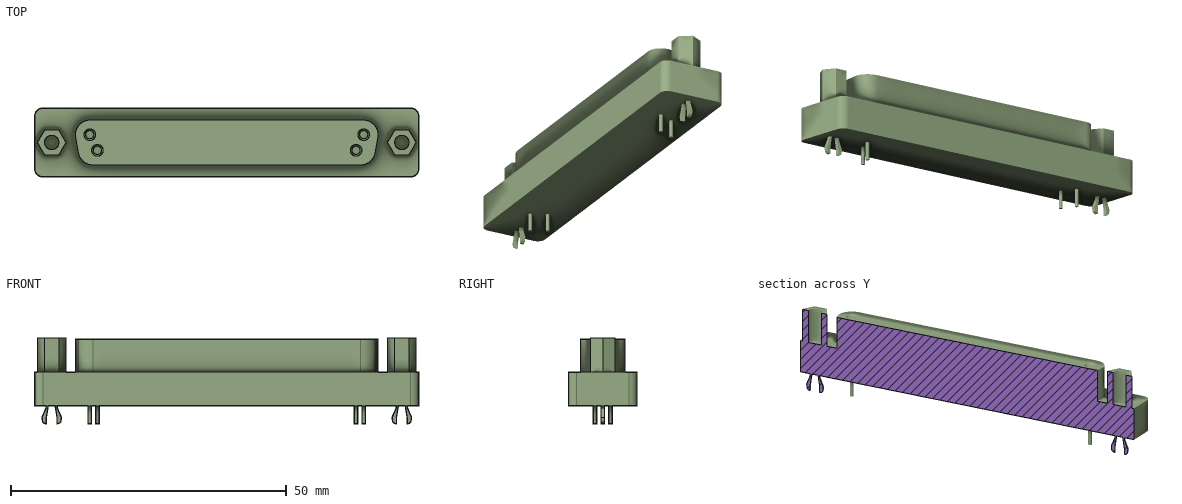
import cadquery as cq
import math

BODY_LENGTH = 69.7
BODY_WIDTH = 12.5
BODY_HEIGHT = 6.1
BODY_CORNER_RADIUS = 1.5

SHELL_LENGTH = 54.9
SHELL_WIDTH = 8.15
SHELL_HEIGHT = 6.0
SHELL_CORNER_RADIUS = 2.65
SHELL_SIDE_ANGLE = 10.0

CONTACT_PITCH = 2.76
ROW_SPACING = 2.84
LONG_ROW_COUNT = 19
SHORT_ROW_COUNT = LONG_ROW_COUNT - 1
CONTACT_MOUTH_DIAMETER = 2.1
CONTACT_FLOOR_DIAMETER = 1.5
CONTACT_DEPTH = 0.45
PIN_DIAMETER = 0.68
TAIL_LENGTH = 3.3

POST_SIDES = 6
POST_SPACING = 63.5
POST_ACROSS_FLATS = 4.5
POST_HEIGHT = 6.2
POST_HOLE_DIAMETER = 2.6

PRONG_THICKNESS = 0.7
PRONG_ROOT_INNER = 0.6
PRONG_ROOT_OUTER = 1.05
PRONG_ROOT_DEPTH = 0.4
PRONG_BARB_OUTER = 1.78
PRONG_BARB_DEPTH = 2.1
PRONG_HEEL_OUTER = 1.68
PRONG_HEEL_DEPTH = 2.9
PRONG_TOE_OUTER = 1.35
PRONG_TOE_DEPTH = 3.2
PRONG_TIP_INNER = 0.95

SIDES = (-1, 1)


def make_body():
    body = cq.Workplane("XY").box(BODY_LENGTH, BODY_WIDTH, BODY_HEIGHT, centered=(True, True, False))
    return body.edges("|Z").fillet(BODY_CORNER_RADIUS)


def make_shell():
    """D-shaped block whose overall length is reached on its upper corner arcs."""
    angle = math.radians(SHELL_SIDE_ANGLE)
    half_width = SHELL_WIDTH / 2
    radius = SHELL_CORNER_RADIUS
    arc_center_x = SHELL_LENGTH / 2 - radius
    arc_center_y = half_width - radius
    half_length_middle = arc_center_x + radius / math.cos(angle) - arc_center_y * math.tan(angle)
    slant = half_width * math.tan(angle)
    long_half = half_length_middle + slant
    short_half = half_length_middle - slant
    corners = [
        (-long_half, half_width),
        (long_half, half_width),
        (short_half, -half_width),
        (-short_half, -half_width),
    ]
    shell = cq.Workplane("XY").workplane(offset=BODY_HEIGHT).polyline(corners).close().extrude(SHELL_HEIGHT)
    return shell.edges("|Z").fillet(radius)


def contact_positions():
    """Centers of the end contacts of both rows."""
    rows = ((LONG_ROW_COUNT, ROW_SPACING / 2), (SHORT_ROW_COUNT, -ROW_SPACING / 2))
    return [(side * (count - 1) * CONTACT_PITCH / 2, y) for count, y in rows for side in SIDES]


def make_contact_recesses():
    top = BODY_HEIGHT + SHELL_HEIGHT
    mouths = cq.Workplane("XY").workplane(offset=top).pushPoints(contact_positions())
    taper = math.degrees(math.atan((CONTACT_MOUTH_DIAMETER - CONTACT_FLOOR_DIAMETER) / 2 / CONTACT_DEPTH))
    return mouths.circle(CONTACT_MOUTH_DIAMETER / 2).extrude(-CONTACT_DEPTH, taper=taper)


def make_pins():
    return cq.Workplane("XY").pushPoints(contact_positions()).circle(PIN_DIAMETER / 2).extrude(-TAIL_LENGTH)


def make_post(x):
    across_corners = POST_ACROSS_FLATS / math.cos(math.pi / POST_SIDES)
    base = cq.Workplane("XY").workplane(offset=BODY_HEIGHT).center(x, 0)
    post = base.polygon(POST_SIDES, across_corners).extrude(POST_HEIGHT)
    return post.faces(">Z").workplane().hole(POST_HOLE_DIAMETER, POST_HEIGHT)


def make_prong(x, side):
    """One spring prong, bowed away from the post axis and barbed near its tip."""
    profile = [
        (PRONG_ROOT_INNER, 0),
        (PRONG_ROOT_OUTER, 0),
        (PRONG_ROOT_OUTER, -PRONG_ROOT_DEPTH),
        (PRONG_BARB_OUTER, -PRONG_BARB_DEPTH),
        (PRONG_HEEL_OUTER, -PRONG_HEEL_DEPTH),
        (PRONG_TOE_OUTER, -PRONG_TOE_DEPTH),
        (PRONG_TIP_INNER, -TAIL_LENGTH),
        (PRONG_TIP_INNER, -PRONG_BARB_DEPTH),
    ]
    outline = [(x + side * offset, z) for offset, z in profile]
    return cq.Workplane("XZ").polyline(outline).close().extrude(PRONG_THICKNESS / 2, both=True)


result = make_body().union(make_shell()).cut(make_contact_recesses()).union(make_pins())
for post_side in SIDES:
    post_x = post_side * POST_SPACING / 2
    result = result.union(make_post(post_x))
    for prong_side in SIDES:
        result = result.union(make_prong(post_x, prong_side))